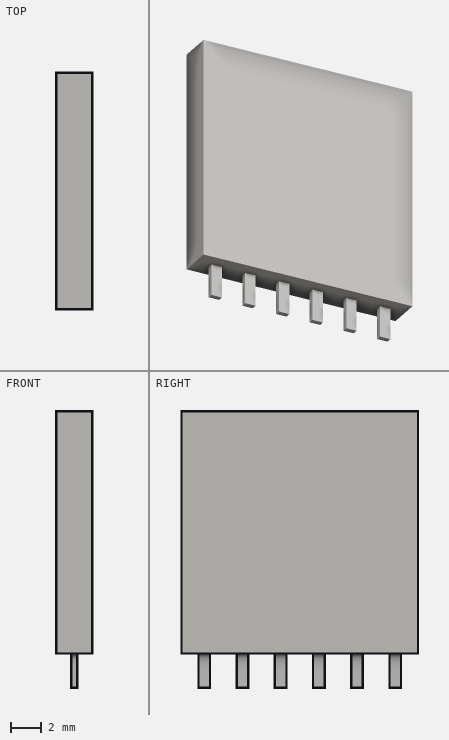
import cadquery as cq

body_thickness = 2.41
body_width = 15.75
overall_height = 18.41
pin_length = 2.286
body_height = overall_height - pin_length

pin_count = 6
pin_pitch = 2.54
pin_thickness = 0.406
pin_width = 0.787


def make_body():
    """Block standing on the plane Z = 0."""
    return cq.Workplane("XY").box(
        body_thickness, body_width, body_height, centered=(True, True, False)
    )


def make_pins():
    """Row of rectangular pins along Y, hanging below Z = 0."""
    return (
        cq.Workplane("XY")
        .rarray(1, pin_pitch, 1, pin_count)
        .rect(pin_thickness, pin_width)
        .extrude(-pin_length)
    )


result = make_body().union(make_pins())